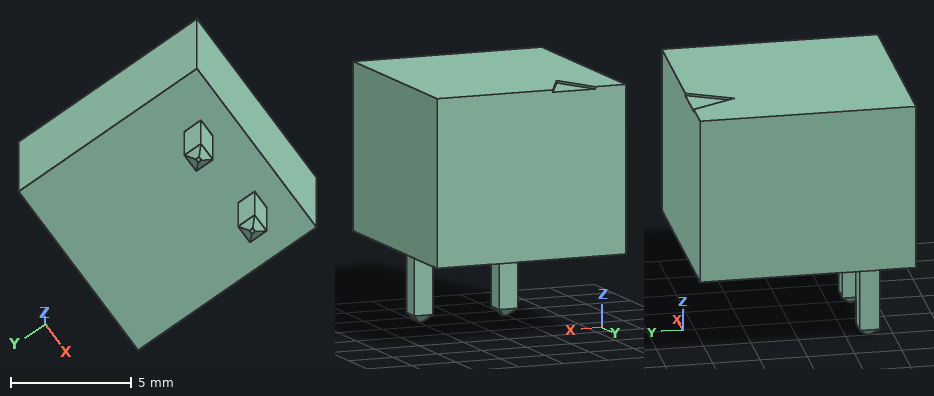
import cadquery as cq

housing_width = 8.5
housing_depth = 9.15
housing_height = 7.18
overall_height = 10.9

marker_width = 1.9
marker_length = 1.9
marker_recess = 0.1
marker_from_left = 2.34

pin_size = 0.85
pin_pitch = 3.82
pin_from_front = 1.6
pin_tip_chamfer = 0.34
pin_length = overall_height - housing_height


def make_housing():
    """Plain block with the triangular marker sunk into its top face."""
    block = cq.Workplane("XY").box(
        housing_width, housing_depth, housing_height, centered=(True, True, False)
    )
    marker_x = marker_from_left - housing_width / 2
    back_y = housing_depth / 2
    marker = (
        cq.Workplane("XY")
        .workplane(offset=housing_height - marker_recess)
        .moveTo(marker_x - marker_width / 2, back_y)
        .lineTo(marker_x + marker_width / 2, back_y)
        .lineTo(marker_x, back_y - marker_length)
        .close()
        .extrude(marker_recess)
    )
    return block.cut(marker)


def make_pin(x, y):
    """Square pin hanging from the housing underside, chamfered to a blunt tip."""
    return (
        cq.Workplane("XY")
        .center(x, y)
        .rect(pin_size, pin_size)
        .extrude(-pin_length)
        .faces("<Z")
        .chamfer(pin_tip_chamfer)
    )


housing = make_housing()

pin_y = pin_from_front - housing_depth / 2
pins = []
for pin_x in (-pin_pitch / 2, pin_pitch / 2):
    pins.append(make_pin(pin_x, pin_y).val())

result = cq.Compound.makeCompound([housing.val(), *pins])